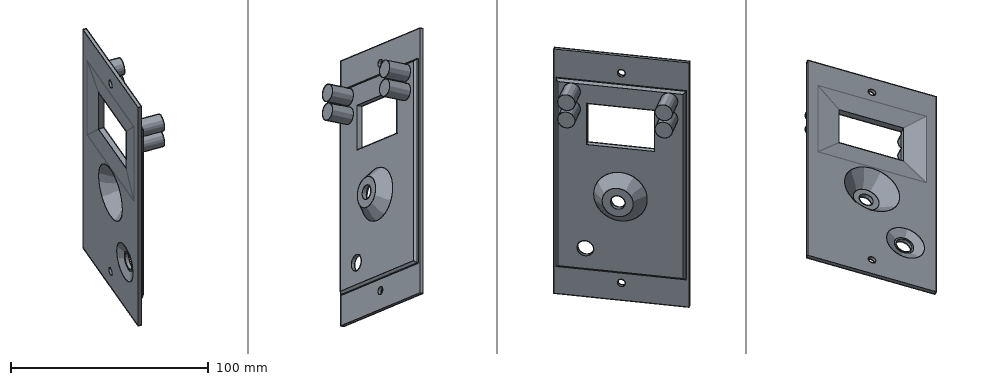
import cadquery as cq

plate_width = 70.0
plate_height = 140.0
plate_thickness = 2.0

pad_width = 67.3
pad_height = 108.0
back_face = 4.0
pad_chamfer = 1.3

screw_hole_diameter = 4.0
screw_hole_offset = 60.0

window_width = 35.0
window_height = 23.5
window_border = 12.0
window_bevel_depth = 1.0
window_z = 30.1
post_diameter = 9.0
post_end = 17.0
post_x = 25.2
post_z_values = (38.2, 48.2)

dish_z = -9.5
dish_rim_diameter = 30.0
dish_floor_diameter = 14.0
dish_depth = 8.0
dish_hole_diameter = 7.5
boss_base_diameter = 27.7
boss_end_diameter = 16.1
boss_end = 10.5

cup_x = 18.2
cup_z = -41.2
cup_rim_diameter = 20.6
cup_floor_diameter = 10.5
cup_depth = 2.0
cup_hole_diameter = 8.5


def section(y, x=0, z=0):
    """Sketch plane at depth y, facing the back, centred on (x, z)."""
    return cq.Workplane(cq.Plane(origin=(x, y, z), xDir=(1, 0, 0), normal=(0, 1, 0)))


def block(width, height, y_start, y_end):
    return section(y_start).rect(width, height).extrude(y_end - y_start)


def cylinder(x, z, diameter, y_start, y_end):
    return section(y_start, x, z).circle(diameter / 2).extrude(y_end - y_start)


def cone(x, z, start_diameter, end_diameter, y_start, y_end):
    return (
        section(y_start, x, z)
        .circle(start_diameter / 2)
        .workplane(offset=y_end - y_start)
        .circle(end_diameter / 2)
        .loft(ruled=True)
    )


def window_cutter():
    """Straight opening plus the tapered border that leads into it."""
    opening = block(window_width, window_height, 0, back_face)
    border = (
        section(0)
        .rect(window_width + 2 * window_border, window_height + 2 * window_border)
        .workplane(offset=window_bevel_depth)
        .rect(window_width, window_height)
        .loft(ruled=True)
    )
    return opening.union(border).translate((0, 0, window_z))


def recess_cutter(x, z, rim_diameter, floor_diameter, depth, hole_diameter, hole_end):
    """Conical recess with a flat floor and a through hole."""
    recess = cone(x, z, rim_diameter, floor_diameter, 0, depth)
    return recess.union(cylinder(x, z, hole_diameter, 0, hole_end))


plate = block(plate_width, plate_height, 0, plate_thickness)
pad = block(pad_width, pad_height, plate_thickness, back_face).faces(">Y").chamfer(pad_chamfer)
body = plate.union(pad)

body = body.union(cone(0, dish_z, boss_base_diameter, boss_end_diameter, back_face, boss_end))
for x in (-post_x, post_x):
    for z in post_z_values:
        body = body.union(cylinder(x, z, post_diameter, plate_thickness, post_end))

body = body.cut(window_cutter())
body = body.cut(
    recess_cutter(
        0, dish_z, dish_rim_diameter, dish_floor_diameter, dish_depth, dish_hole_diameter, boss_end
    )
)
body = body.cut(
    recess_cutter(
        cup_x, cup_z, cup_rim_diameter, cup_floor_diameter, cup_depth, cup_hole_diameter, back_face
    )
)
for z in (-screw_hole_offset, screw_hole_offset):
    body = body.cut(cylinder(0, z, screw_hole_diameter, 0, back_face))

result = body